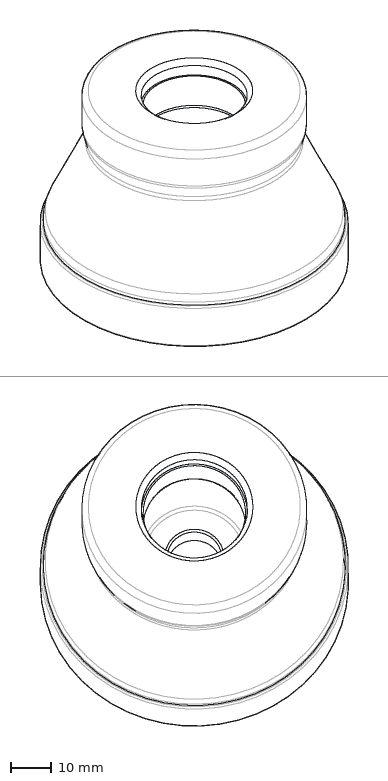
import cadquery as cq
import math

total_height = 50.8

base_radius = 38.1
base_height = 12.05
base_edge_round = 0.45

screw_hole_radius = 6.7
screw_hole_chamfer = 0.5

rim_radius = 37.3
rim_straight_height = 0.9
shoulder_round = 5.0
cone_angle = math.radians(25.0)
waist_z = 36.8
waist_round = 1.7
undercut_angle = math.radians(15.0)
undercut_round = 2.75
head_radius = 27.8
head_top_round = 1.6

bore_radius = 13.1
mouth_chamfer = 1.4
lip_radius = 12.65
lip_top_depth = 4.2
lip_bottom_depth = 12.95
lip_taper_angle = math.radians(25.0)
floor_thickness = 6.1
floor_round = 0.8

shoulder_z = base_height + rim_straight_height + shoulder_round * math.tan(cone_angle / 2)
waist_radius = rim_radius - (waist_z - shoulder_z) * math.tan(cone_angle)
head_bottom_z = waist_z + (head_radius - waist_radius) / math.tan(undercut_angle)

floor_z = base_height + floor_thickness
lip_top_z = total_height - lip_top_depth
lip_bottom_z = total_height - lip_bottom_depth
lip_taper_end_z = lip_bottom_z - (bore_radius - lip_radius) / math.tan(lip_taper_angle)


def revolve_profile(points):
    """Turn a closed (radius, z) outline about the Z axis."""
    return cq.Workplane("XZ").polyline(points).close().revolve(360, (0, 0, 0), (0, 1, 0))


def circle_edge(radius, z):
    """Selector for the circular edge of the given radius at height z."""
    slack = 0.04
    reach = radius + slack
    return cq.selectors.BoxSelector((-reach, -reach, z - slack), (reach, reach, z + slack), boundingbox=True)


def make_base():
    disc = cq.Workplane("XY").circle(base_radius).extrude(base_height)
    disc = disc.edges("%CIRCLE").fillet(base_edge_round)
    hole = cq.Workplane("XY").circle(screw_hole_radius).extrude(base_height)
    return disc.cut(hole)


def make_bell_blank():
    """Solid bell with its rounded outline."""
    blank = revolve_profile([
        (0, base_height),
        (rim_radius, base_height),
        (rim_radius, shoulder_z),
        (waist_radius, waist_z),
        (head_radius, head_bottom_z),
        (head_radius, total_height),
        (0, total_height),
    ])
    rounds = [
        (rim_radius, shoulder_z, shoulder_round),
        (waist_radius, waist_z, waist_round),
        (head_radius, head_bottom_z, undercut_round),
        (head_radius, total_height, head_top_round),
    ]
    for radius, z, round_radius in rounds:
        blank = blank.edges(circle_edge(radius, z)).fillet(round_radius)
    return blank


def make_bore():
    """Space inside the bell, down to its floor."""
    bore = revolve_profile([
        (0, floor_z),
        (bore_radius, floor_z),
        (bore_radius, lip_taper_end_z),
        (lip_radius, lip_bottom_z),
        (lip_radius, lip_top_z),
        (bore_radius, lip_top_z),
        (bore_radius, total_height - mouth_chamfer),
        (bore_radius + mouth_chamfer, total_height),
        (0, total_height),
    ])
    return bore.edges(circle_edge(bore_radius, floor_z)).fillet(floor_round)


def make_floor_hole():
    """Screw hole in the bell floor, chamfered at its upper end."""
    return revolve_profile([
        (0, base_height),
        (screw_hole_radius, base_height),
        (screw_hole_radius, floor_z - screw_hole_chamfer),
        (screw_hole_radius + screw_hole_chamfer, floor_z),
        (0, floor_z),
    ])


def make_bell():
    return make_bell_blank().cut(make_bore()).cut(make_floor_hole())


base = make_base()
bell = make_bell()
result = cq.Compound.makeCompound([base.val(), bell.val()])